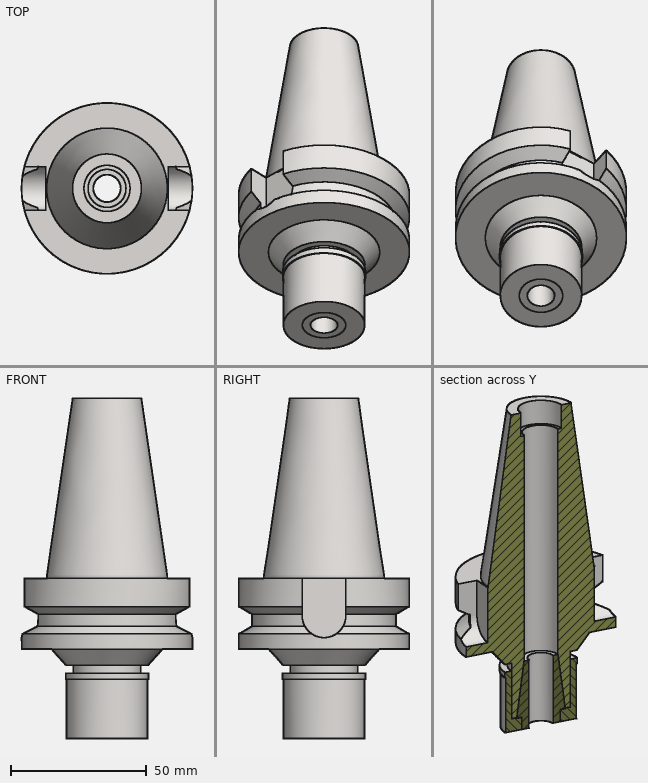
import cadquery as cq
import math


gauge_radius = 44.45 / 2
shank_length = 65.4
taper_ratio = 7 / 24
shank_end_radius = gauge_radius - shank_length * taper_ratio / 2

flange_radius = 63 / 2
flange_top = -1.0
flange_bottom = -27.0
groove_floor_radius = 53.2 / 2
groove_center = -16.4
groove_mouth_width = 10.1
groove_flank_angle = math.radians(30)
groove_flank_height = (flange_radius - groove_floor_radius) * math.tan(groove_flank_angle)
groove_mouth_top = groove_center + groove_mouth_width / 2
groove_mouth_bottom = groove_center - groove_mouth_width / 2

slot_width = 16.1
slot_floor_distance = 22.5
slot_bottom = -22.8
slot_cut_length = flange_radius - slot_floor_distance + 1

shoulder_top_radius = 20.5
shoulder_bottom_radius = 15.1
shoulder_bottom = -33.0
spigot_radius = 12.5
spigot_end = -55.0

counterbore_radius = 8.5
counterbore_depth = 9.25
bore_radius = 7.0

nut_radius = 15.0
nut_collar_radius = 15.3
nut_top = -35.9
nut_collar_bottom = -38.2
nut_bottom = -60.0
nut_mouth_radius = 8.0

collet_hole_radius = 5.0
collet_half_angle = math.radians(8)
collet_top = shoulder_bottom
collet_seat_radius = bore_radius + (collet_top - spigot_end) * math.tan(collet_half_angle)


def revolve_profile(points):
    """Turn a closed outline of (radius, height) points about the Z axis."""
    return cq.Workplane("XZ").polyline(points).close().revolve(360, (0, 0, 0), (0, 1, 0))


def make_drive_slot(side):
    """Cutter for a round-bottomed slot, open at the flange top and at the rim (side is +1 or -1)."""
    arc_center = slot_bottom + slot_width / 2
    half_width = slot_width / 2
    return (
        cq.Workplane("YZ", origin=(side * slot_floor_distance, 0, 0))
        .moveTo(-half_width, flange_top)
        .lineTo(-half_width, arc_center)
        .threePointArc((0, slot_bottom), (half_width, arc_center))
        .lineTo(half_width, flange_top)
        .close()
        .extrude(side * slot_cut_length)
    )


def make_holder():
    """Taper shank, grooved flange, shoulder and spigot around a stepped bore with a collet socket."""
    counterbore_floor = shank_length - counterbore_depth
    holder = revolve_profile([
        (counterbore_radius, shank_length),
        (shank_end_radius, shank_length),
        (gauge_radius, 0),
        (gauge_radius, flange_top),
        (flange_radius, flange_top),
        (flange_radius, groove_mouth_top),
        (groove_floor_radius, groove_mouth_top - groove_flank_height),
        (groove_floor_radius, groove_mouth_bottom + groove_flank_height),
        (flange_radius, groove_mouth_bottom),
        (flange_radius, flange_bottom),
        (shoulder_top_radius, flange_bottom),
        (shoulder_bottom_radius, shoulder_bottom),
        (spigot_radius, shoulder_bottom),
        (spigot_radius, spigot_end),
        (collet_seat_radius, spigot_end),
        (bore_radius, collet_top),
        (bore_radius, counterbore_floor),
        (counterbore_radius, counterbore_floor),
    ])
    for side in (1, -1):
        holder = holder.cut(make_drive_slot(side))
    return holder


def make_nut():
    """Cap around the spigot with a collar at its top and a mouth for the collet nose."""
    return revolve_profile([
        (spigot_radius, nut_top),
        (nut_collar_radius, nut_top),
        (nut_collar_radius, nut_collar_bottom),
        (nut_radius, nut_collar_bottom),
        (nut_radius, nut_bottom),
        (nut_mouth_radius, nut_bottom),
        (nut_mouth_radius, spigot_end),
        (spigot_radius, spigot_end),
    ])


def make_collet():
    """Conical sleeve with a cylindrical nose that fills the nut mouth."""
    return revolve_profile([
        (collet_hole_radius, collet_top),
        (bore_radius, collet_top),
        (collet_seat_radius, spigot_end),
        (nut_mouth_radius, spigot_end),
        (nut_mouth_radius, nut_bottom),
        (collet_hole_radius, nut_bottom),
    ])


holder = make_holder()
nut = make_nut()
collet = make_collet()

result = cq.Compound.makeCompound([holder.val(), nut.val(), collet.val()])